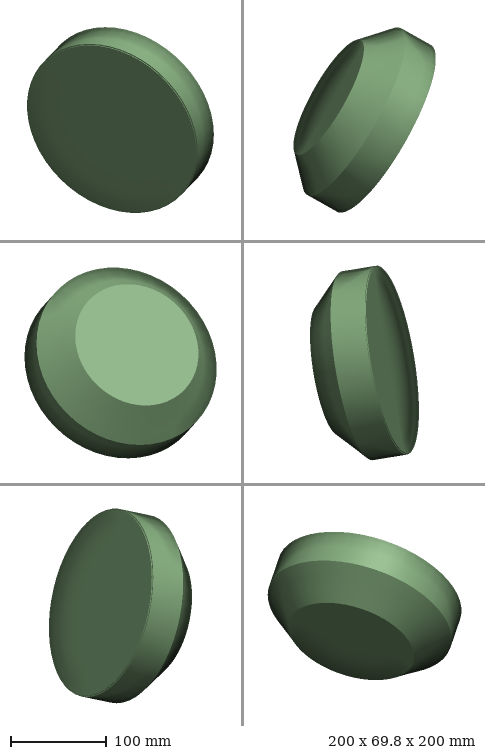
import cadquery as cq

outer_diameter = 200.0
total_depth = 69.8
back_diameter = 136.8
cone_depth = 31.5
ledge_width = 1.5
ledge_depth = 1.0

outer_radius = outer_diameter / 2
back_radius = back_diameter / 2
front_radius = outer_radius - ledge_width
front_y = -total_depth / 2
ledge_y = front_y + ledge_depth
back_y = total_depth / 2
cone_y = back_y - cone_depth

half_section = (
    cq.Workplane("XY")
    .moveTo(0, front_y)
    .lineTo(front_radius, front_y)
    .lineTo(front_radius, ledge_y)
    .lineTo(outer_radius, ledge_y)
    .lineTo(outer_radius, cone_y)
    .lineTo(back_radius, back_y)
    .lineTo(0, back_y)
    .close()
)

result = half_section.revolve(360, (0, 0, 0), (0, 1, 0))